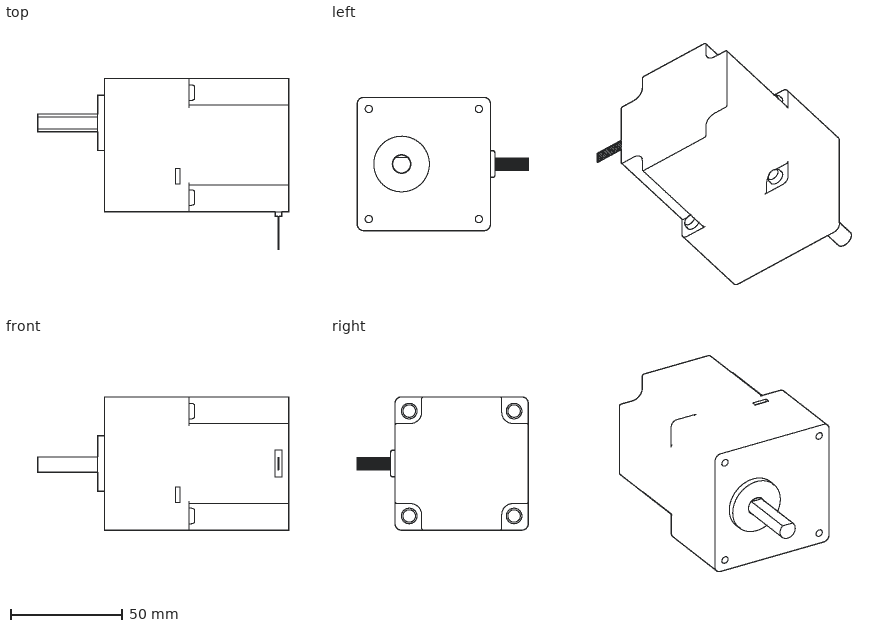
import cadquery as cq
import math


body_width = 60.0
gearbox_length = 32.0
gearbox_corner_radius = 3.0
adapter_length = 6.0
cover_plate_diameter = 55.0
cover_plate_thickness = 2.0

shaft_offset_y = 10.0
boss_diameter = 25.0
boss_length = 3.0
shaft_bore_diameter = 8.4
shaft_diameter = 8.0
shaft_reach = 30.0
shaft_flat_height = 3.0

mount_circle_diameter = 70.0
mount_hole_diameter = 3.24
mount_hole_depth = 10.0
drill_tip_length = mount_hole_diameter / 2

pocket_width = 2.0
pocket_length = 7.0
pocket_depth = 1.5
pocket_offset = -14.0

motor_flange_length = 2.0
motor_stack_length = 35.0
motor_end_cap_length = 8.0
corner_notch = 12.0
notch_radius = 5.0
motor_edge_radius = 1.0

screw_spacing = 47.14
screw_head_diameter = 7.0
screw_rim_height = 1.1
screw_top_diameter = 5.6
screw_head_height = 2.6

outlet_from_rear = 4.7
outlet_width = 3.0
outlet_height = 12.0
outlet_depth = 2.0
outlet_edge_radius = 1.0
wire_count = 6
wire_diameter = 0.64
wire_pitch = 1.0
cable_reach = 17.0

half_width = body_width / 2
adapter_rear_x = gearbox_length + adapter_length
motor_length = motor_flange_length + motor_stack_length + motor_end_cap_length
rear_x = adapter_rear_x + motor_length
corners = [(sy, sz) for sy in (-1, 1) for sz in (-1, 1)]


def cylinder_x(diameter, start_x, length, y=0.0, z=0.0):
    """Cylinder running along +X from start_x."""
    return cq.Workplane("YZ", origin=(start_x, y, z)).circle(diameter / 2).extrude(length)


def rounded_block(start_x, length):
    """Square body section with rounded long edges."""
    block = cq.Workplane("YZ", origin=(start_x, 0, 0)).rect(body_width, body_width).extrude(length)
    return block.edges("|X").fillet(gearbox_corner_radius)


def corner_notches(start_x, length):
    """Four corner prisms, rounded on the edge nearest the motor axis."""
    notch_size = 2 * corner_notch
    prisms = (
        cq.Workplane("YZ", origin=(start_x, 0, 0))
        .rect(body_width, body_width, forConstruction=True)
        .vertices()
        .rect(notch_size, notch_size)
        .extrude(length)
    )
    return prisms.edges("|X").fillet(notch_radius)


def motor_section(start_x, length):
    """Motor body section: a square with a rounded notch in every corner."""
    section = cq.Workplane("YZ", origin=(start_x, 0, 0)).rect(body_width, body_width).extrude(length)
    section = section.cut(corner_notches(start_x, length))
    return section.edges("|X").edges("<Y or >Y or <Z or >Z").fillet(motor_edge_radius)


def mount_hole(y, z):
    """Blind hole with a drill tip, entering the gearbox face."""
    radius = mount_hole_diameter / 2
    profile = [
        (0, 0),
        (0, radius),
        (mount_hole_depth, radius),
        (mount_hole_depth + drill_tip_length, 0),
    ]
    hole = cq.Workplane("XY").polyline(profile).close().revolve(360, (0, 0, 0), (1, 0, 0))
    return hole.translate((0, y, z))


def gearbox():
    """Gearbox housing with its flush round cover plate and mounting holes."""
    cover_plate = cylinder_x(cover_plate_diameter, 0, cover_plate_thickness)
    housing = rounded_block(0, gearbox_length).cut(cover_plate)
    hole_offset = mount_circle_diameter / 2 * math.sqrt(0.5)
    for sy, sz in corners:
        housing = housing.cut(mount_hole(sy * hole_offset, sz * hole_offset))
    return housing.union(cover_plate, clean=False)


def adapter():
    """Plate carrying the motor flange, with a pocket in its -Y and +Z sides."""
    pocket_x = gearbox_length + pocket_width / 2
    pocket_center = half_width - pocket_depth / 2
    side_pocket = cq.Workplane("XY").box(pocket_width, pocket_depth, pocket_length)
    top_pocket = cq.Workplane("XY").box(pocket_width, pocket_length, pocket_depth)
    plate = rounded_block(gearbox_length, adapter_length)
    plate = plate.cut(side_pocket.translate((pocket_x, -pocket_center, pocket_offset)))
    plate = plate.cut(top_pocket.translate((pocket_x, pocket_offset, pocket_center)))
    return plate.union(motor_section(adapter_rear_x, motor_flange_length))


def output_boss():
    """Round boss with a clearance bore around the shaft."""
    boss = cylinder_x(boss_diameter, -boss_length, boss_length, shaft_offset_y)
    return boss.cut(cylinder_x(shaft_bore_diameter, -boss_length, boss_length, shaft_offset_y))


def output_shaft():
    """Shaft that is round inside the boss and has a flat facing +Z outside it."""
    shaft = cylinder_x(shaft_diameter, -shaft_reach, shaft_reach, shaft_offset_y)
    flat_length = shaft_reach - boss_length
    above_flat = (
        cq.Workplane("XY", origin=(-shaft_reach, shaft_offset_y, shaft_flat_height))
        .box(flat_length, shaft_diameter, shaft_diameter, centered=(False, True, False))
    )
    return shaft.cut(above_flat)


def screw_head(y, z):
    """Pan screw head: straight rim, then an arc tangent to it, then a flat top."""
    rim_radius = screw_head_diameter / 2
    head = (
        cq.Workplane("XY")
        .lineTo(0, rim_radius)
        .lineTo(screw_rim_height, rim_radius)
        .tangentArcPoint((screw_head_height, screw_top_diameter / 2), relative=False)
        .lineTo(screw_head_height, 0)
        .close()
        .revolve(360, (0, 0, 0), (1, 0, 0))
    )
    return head.translate((adapter_rear_x, y, z))


def cable_outlet():
    """Outlet block and its row of wires, pointing along -Y."""
    outlet_x = rear_x - outlet_from_rear
    outlet = (
        cq.Workplane("XZ", origin=(outlet_x, -half_width, 0))
        .rect(outlet_width, outlet_height)
        .extrude(outlet_depth)
        .faces("<Y").edges("|X").fillet(outlet_edge_radius)
    )
    first_wire_z = -(wire_count - 1) * wire_pitch / 2
    for index in range(wire_count):
        wire_z = first_wire_z + index * wire_pitch
        wire = (
            cq.Workplane("XZ", origin=(outlet_x, -half_width, wire_z))
            .circle(wire_diameter / 2)
            .extrude(cable_reach)
        )
        outlet = outlet.union(wire)
    return outlet


stack_x = adapter_rear_x + motor_flange_length
end_cap_x = stack_x + motor_stack_length
screw_offset = screw_spacing / 2

sections = [
    adapter(),
    output_boss(),
    output_shaft(),
    motor_section(stack_x, motor_stack_length),
    motor_section(end_cap_x, motor_end_cap_length),
    cable_outlet(),
]
for side_y, side_z in corners:
    sections.append(screw_head(side_y * screw_offset, side_z * screw_offset))

result = gearbox()
for section in sections:
    result = result.union(section, clean=False)